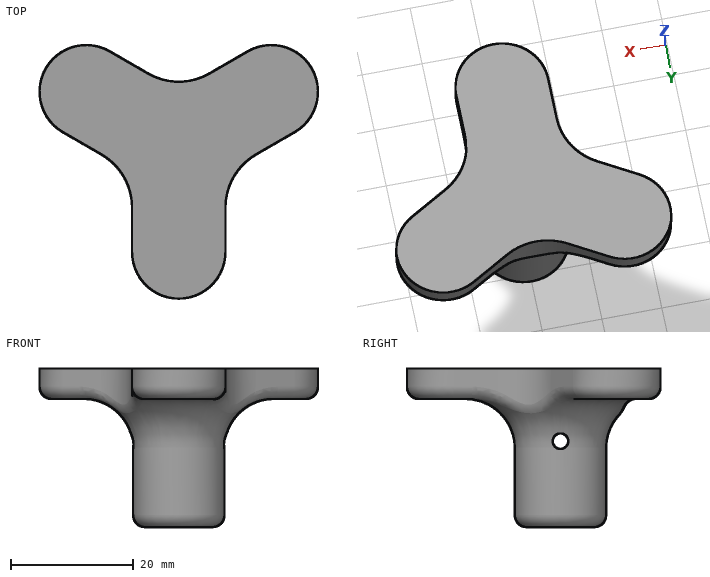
import cadquery as cq
import math

total_height = 26.0
plate_thickness = 5.0
arm_count = 3
arm_radius = 7.65
overall_width = 45.6
valley_radius = 10.0
stem_diameter = 15.0
flare_radius = 8.0
edge_round = 2.0
pin_hole_diameter = 2.5
pin_hole_depth_below_top = 11.9

arm_spacing = 2 * math.pi / arm_count
arm_reach = (overall_width / 2 - arm_radius) / math.sin(arm_spacing)
stem_radius = stem_diameter / 2
plate_bottom = total_height - plate_thickness
flare_start = plate_bottom - flare_radius
flare_outer_radius = stem_radius + flare_radius
turned_radius = arm_reach + 2 * arm_radius


def arm_prism(angle_degrees):
    """Full-height round-ended arm from the stem axis, at an angle from -Y."""
    return (
        cq.Workplane("XY")
        .moveTo(-arm_radius, 0)
        .lineTo(-arm_radius, -arm_reach)
        .threePointArc((0, -arm_reach - arm_radius), (arm_radius, -arm_reach))
        .lineTo(arm_radius, 0)
        .threePointArc((0, arm_radius), (-arm_radius, 0))
        .close()
        .extrude(total_height)
        .rotate((0, 0, 0), (0, 0, 1), angle_degrees)
    )


def star_prism():
    """Three arms joined by rounded valleys."""
    star = arm_prism(0)
    for index in range(1, arm_count):
        star = star.union(arm_prism(index * math.degrees(arm_spacing)))
    corner_distance = arm_radius / math.sin(arm_spacing / 2)
    for index in range(arm_count):
        corner_angle = math.pi / 2 + index * arm_spacing
        corner = (
            corner_distance * math.cos(corner_angle),
            corner_distance * math.sin(corner_angle),
            total_height / 2,
        )
        star = star.edges(cq.selectors.NearestToPointSelector(corner)).fillet(valley_radius)
    return star


def turned_body():
    """Stem flaring with a concave quarter arc into a wide flat disc."""
    arc_offset = flare_radius * math.sqrt(0.5)
    return (
        cq.Workplane("XZ")
        .lineTo(stem_radius, 0)
        .lineTo(stem_radius, flare_start)
        .threePointArc(
            (flare_outer_radius - arc_offset, flare_start + arc_offset),
            (flare_outer_radius, plate_bottom),
        )
        .lineTo(turned_radius, plate_bottom)
        .lineTo(turned_radius, total_height)
        .lineTo(0, total_height)
        .close()
        .revolve(360, (0, 0, 0), (0, 1, 0))
    )


body = turned_body().intersect(star_prism())

arm_tip = (0, -arm_reach - arm_radius, plate_bottom)
body = body.edges(cq.selectors.NearestToPointSelector(arm_tip)).fillet(edge_round)

body = body.faces("<Z").edges().fillet(edge_round)

pin_hole = (
    cq.Workplane("YZ")
    .center(0, total_height - pin_hole_depth_below_top)
    .circle(pin_hole_diameter / 2)
    .extrude(stem_diameter, both=True)
)
result = body.cut(pin_hole)